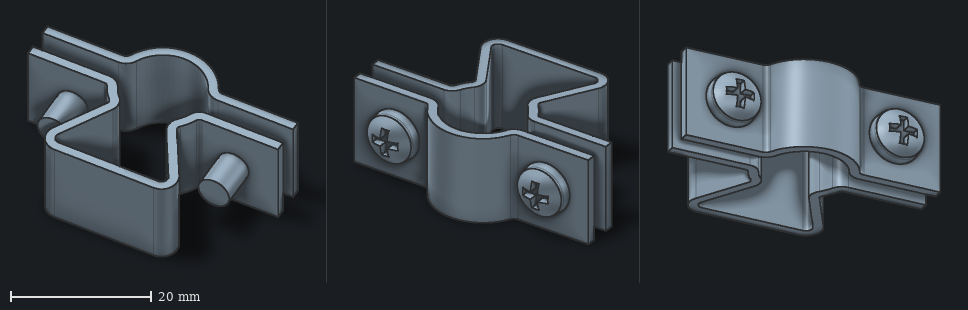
import cadquery as cq
import math


strip_thickness = 1.5
strip_width = 14.0
tube_radius = 6.5
saddle_outer_radius = tube_radius + strip_thickness
flange_gap = 3.0

upper_length = 40.5
upper_bend_radius = 1.0

lower_length = 40.4
lower_bend_radius = 0.7
foot_bend_radius = 1.0
foot_flat_length = 16.0
overall_depth = 25.95
wall_angle = 60.0

screw_spacing = 26.0
shank_diameter = 5.0
shank_length = 12.0
head_base_radius = 4.05
head_top_radius = 3.93
head_side_height = 1.4
dome_base_radius = 3.8
dome_base_height = 1.8
head_height = 3.25
recess_length = 4.37
recess_width = 1.2
recess_depth = 1.6

flange_inner_y = flange_gap / 2
flange_outer_y = flange_inner_y + strip_thickness
tube_center = (0, 0)
screw_positions = (-screw_spacing / 2, screw_spacing / 2)
min_line_length = 4.05e-07


def polar(center, radius, angle):
    """Point at an angle in degrees on a circle."""
    turn = math.radians(angle)
    return (center[0] + radius * math.cos(turn), center[1] + radius * math.sin(turn))


def face_arcs(bends, depth):
    """Start, middle and end points of every bend, at a depth below the tube-side face.

    Each bend is (center, tube-side radius, radius growth per depth, start angle, end angle).
    """
    arcs = []
    for center, radius, growth, start, end in bends:
        face_radius = radius + growth * depth
        arcs.append([polar(center, face_radius, angle) for angle in (start, (start + end) / 2, end)])
    return arcs


def bent_strip(bends, flange_end):
    """Symmetric strip, built from the bends of its +X half in order from flange to YZ plane."""
    near_arcs = face_arcs(bends, 0)
    far_arcs = [arc[::-1] for arc in reversed(face_arcs(bends, strip_thickness))]
    first_corner = (flange_end, near_arcs[0][0][1])
    last_corner = (flange_end, far_arcs[-1][-1][1])

    near_end = near_arcs[-1][-1]
    far_start = far_arcs[0][0]
    middle_corners = [(0, near_end[1]), (0, far_start[1])]

    edges = []
    position = cq.Vector(*first_corner)

    def line_to(point):
        nonlocal position
        target = cq.Vector(*point)
        if (target - position).Length > min_line_length:
            edges.append(cq.Edge.makeLine(position, target))
            position = target

    def follow(arcs):
        nonlocal position
        for start, middle, end in arcs:
            line_to(start)
            edges.append(cq.Edge.makeThreePointArc(position, cq.Vector(*middle), cq.Vector(*end)))
            position = cq.Vector(*end)

    follow(near_arcs)
    for corner in middle_corners:
        line_to(corner)
    follow(far_arcs)
    line_to(last_corner)
    line_to(first_corner)

    profile = cq.Wire.assembleEdges(edges)
    half = cq.Workplane("XY").add(profile).toPending().extrude(strip_width / 2, both=True)
    return half.union(half.mirror("YZ"))


def cut_screw_holes(clamp):
    """Cut the two holes, which fit the shanks closely, through the flanges of a clamp half."""
    for x in screw_positions:
        hole_start = cq.Workplane("XZ", origin=(x, flange_outer_y, 0))
        hole = hole_start.circle(shank_diameter / 2).extrude(2 * flange_outer_y)
        clamp = clamp.cut(hole)
    return clamp


def make_upper_clamp():
    """Arched clamp half with a flange on each side."""
    bend_y = flange_outer_y + upper_bend_radius
    bend_distance = saddle_outer_radius + upper_bend_radius
    saddle_angle = math.degrees(math.asin(bend_y / bend_distance))
    bend_center = polar(tube_center, bend_distance, saddle_angle)
    bends = [
        (bend_center, upper_bend_radius + strip_thickness, -1, -90, saddle_angle - 180),
        (tube_center, tube_radius, 1, saddle_angle, 90),
    ]
    return cut_screw_holes(bent_strip(bends, upper_length / 2))


def make_lower_clamp():
    """Clamp half whose split saddle narrows to a neck and widens to a flat foot."""
    bend_distance = saddle_outer_radius + lower_bend_radius
    bend_outer_radius = lower_bend_radius + strip_thickness
    flange_angle = math.degrees(math.asin((flange_outer_y + lower_bend_radius) / bend_distance))
    flange_bend_center = polar(tube_center, bend_distance, -flange_angle)

    wall_normal = 90 - wall_angle
    bottom_y = saddle_outer_radius - overall_depth
    foot_center = (foot_flat_length / 2, bottom_y + strip_thickness + foot_bend_radius)

    normal_x, normal_y = polar((0, 0), 1, wall_normal)
    wall_offset = foot_center[0] * normal_x + foot_center[1] * normal_y + foot_bend_radius
    neck_angle = math.degrees(math.acos((wall_offset + bend_outer_radius) / bend_distance)) - wall_normal
    neck_center = polar(tube_center, bend_distance, -neck_angle)

    bends = [
        (flange_bend_center, bend_outer_radius, -1, 90, 180 - flange_angle),
        (tube_center, tube_radius, 1, -flange_angle, -neck_angle),
        (neck_center, bend_outer_radius, -1, 180 - neck_angle, 180 + wall_normal),
        (foot_center, foot_bend_radius, 1, wall_normal, -90),
    ]
    return cut_screw_holes(bent_strip(bends, lower_length / 2))


def make_screw(x):
    """Domed, cross-recessed screw along Y whose head rests on the upper flange."""
    dome_rise = head_height - dome_base_height
    dome_radius = (dome_base_radius ** 2 + dome_rise ** 2) / (2 * dome_rise)
    half_chord = dome_base_radius / 2
    dome_mid_height = head_height - dome_radius + math.sqrt(dome_radius ** 2 - half_chord ** 2)
    screw = (
        cq.Workplane("XY")
        .moveTo(0, -shank_length)
        .lineTo(shank_diameter / 2, -shank_length)
        .lineTo(shank_diameter / 2, 0)
        .lineTo(head_base_radius, 0)
        .lineTo(head_top_radius, head_side_height)
        .lineTo(dome_base_radius, dome_base_height)
        .threePointArc((half_chord, dome_mid_height), (0, head_height))
        .close()
        .revolve(360, (0, 0, 0), (0, 1, 0))
    )
    recess_y = head_height - recess_depth / 2
    for size_x, size_z in ((recess_length, recess_width), (recess_width, recess_length)):
        slot = cq.Workplane("XY").box(size_x, recess_depth, size_z).translate((0, recess_y, 0))
        screw = screw.cut(slot)
    return screw.translate((x, flange_outer_y, 0))


upper_clamp = make_upper_clamp()
lower_clamp = make_lower_clamp()
screws = [make_screw(x) for x in screw_positions]

result = cq.Compound.makeCompound(
    [upper_clamp.val(), lower_clamp.val()] + [screw.val() for screw in screws]
)